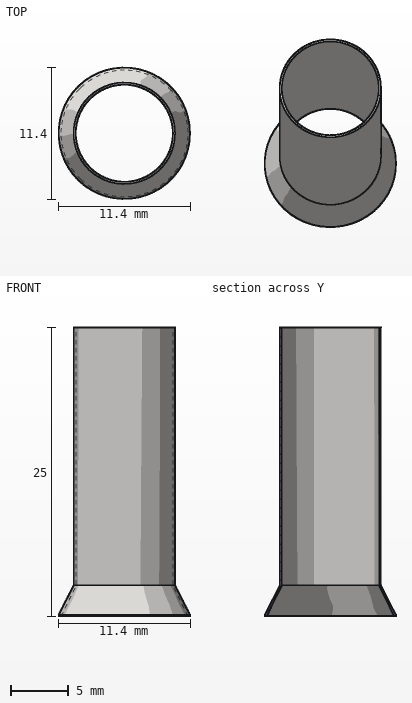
import cadquery as cq

total_length = 25.0
tube_outer_diameter = 8.8
wall = 0.2
flare_diameter = 11.4
flare_height = 2.65
rim_height = 0.1

tube_radius = tube_outer_diameter / 2
bore_radius = tube_radius - wall
flare_radius = flare_diameter / 2
mouth_radius = flare_radius - wall

wall_section = (
    cq.Workplane("XZ")
    .moveTo(mouth_radius, 0)
    .lineTo(flare_radius, 0)
    .lineTo(flare_radius, rim_height)
    .lineTo(tube_radius, flare_height)
    .lineTo(tube_radius, total_length)
    .lineTo(bore_radius, total_length)
    .lineTo(bore_radius, flare_height)
    .close()
)

result = wall_section.revolve(360, (0, 0, 0), (0, 1, 0)).translate((0, 0, -total_length / 2))